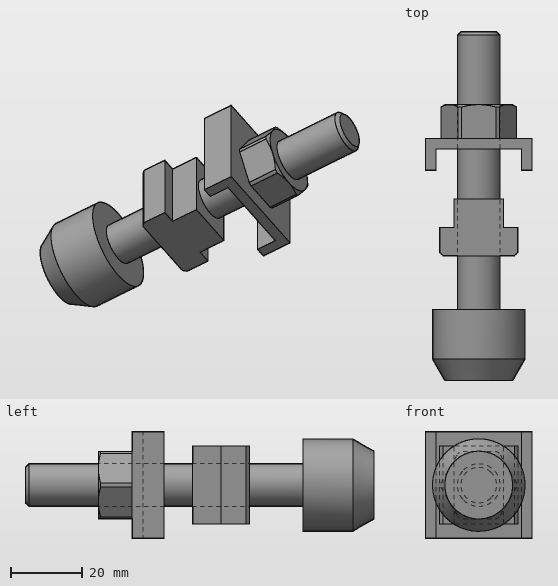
import cadquery as cq
import math


total_length = 98.0
rod_diameter = 12.0
rod_chamfer = 1.0
pad_diameter = 26.0
pad_length = 20.0
taper_length = 6.0
taper_angle = 30.0

block_front = 35.0
block_height = 22.0
flange_width = 22.0
flange_length = 8.0
neck_width = 14.0
neck_length = 8.0
flange_chamfer = 1.0

bracket_back = 68.0
bracket_size = 30.0
bracket_depth = 9.0
bracket_wall = 3.0

nut_across_flats = 19.0
nut_corner_diameter = 21.3
nut_height = 9.5
nut_chamfer_angle = 30.0


def cylinder_along_y(diameter, start, length):
    """Cylinder on the Y axis, from start towards +Y."""
    return cq.Workplane("XZ", origin=(0, start, 0)).circle(diameter / 2).extrude(-length)


def prism_along_z(outline, height):
    """Closed XY outline extruded symmetrically about Z = 0."""
    return cq.Workplane("XY").polyline(outline).close().extrude(height / 2, both=True)


def mirrored_outline(right_half):
    """Complete an outline by mirroring its right half across X = 0."""
    left_half = [(-x, y) for x, y in reversed(right_half)]
    return right_half + left_half


def cut_rod_hole(body):
    """Bore the body to the rod diameter along its whole length."""
    box = body.val().BoundingBox()
    return body.cut(cylinder_along_y(rod_diameter, box.ymin, box.ylen))


def make_bolt():
    rod_radius = rod_diameter / 2
    pad_radius = pad_diameter / 2
    tip_radius = pad_radius - taper_length * math.tan(math.radians(taper_angle))
    half_profile = [
        (0, 0),
        (tip_radius, 0),
        (pad_radius, taper_length),
        (pad_radius, pad_length),
        (rod_radius, pad_length),
        (rod_radius, total_length - rod_chamfer),
        (rod_radius - rod_chamfer, total_length),
        (0, total_length),
    ]
    return cq.Workplane("XY").polyline(half_profile).close().revolve(360, (0, 0), (0, 1))


def make_block():
    shoulder = block_front + flange_length
    right_half = [
        (flange_width / 2 - flange_chamfer, block_front),
        (flange_width / 2, block_front + flange_chamfer),
        (flange_width / 2, shoulder),
        (neck_width / 2, shoulder),
        (neck_width / 2, shoulder + neck_length),
    ]
    return cut_rod_hole(prism_along_z(mirrored_outline(right_half), block_height))


def make_bracket():
    web_front = bracket_back - bracket_wall
    leg_end = bracket_back - bracket_depth
    inner_half_width = bracket_size / 2 - bracket_wall
    right_half = [
        (inner_half_width, web_front),
        (inner_half_width, leg_end),
        (bracket_size / 2, leg_end),
        (bracket_size / 2, bracket_back),
    ]
    return cut_rod_hole(prism_along_z(mirrored_outline(right_half), bracket_size))


def make_nut():
    across_corners = nut_across_flats / math.cos(math.radians(30))
    hexagon = (
        cq.Workplane("XZ", origin=(0, bracket_back, 0))
        .polygon(6, across_corners)
        .extrude(-nut_height)
    )
    chamfer_width = (nut_corner_diameter - nut_across_flats) / 2
    chamfer_height = chamfer_width * math.tan(math.radians(nut_chamfer_angle))
    nut_end = bracket_back + nut_height
    envelope_profile = [
        (0, bracket_back),
        (nut_corner_diameter / 2, bracket_back),
        (nut_corner_diameter / 2, nut_end - chamfer_height),
        (nut_across_flats / 2, nut_end),
        (0, nut_end),
    ]
    envelope = cq.Workplane("XY").polyline(envelope_profile).close().revolve(360, (0, 0), (0, 1))
    return cut_rod_hole(hexagon.intersect(envelope))


bolt = make_bolt()
block = make_block()
bracket = make_bracket()
nut = make_nut()

result = cq.Compound.makeCompound([bolt.val(), block.val(), bracket.val(), nut.val()])